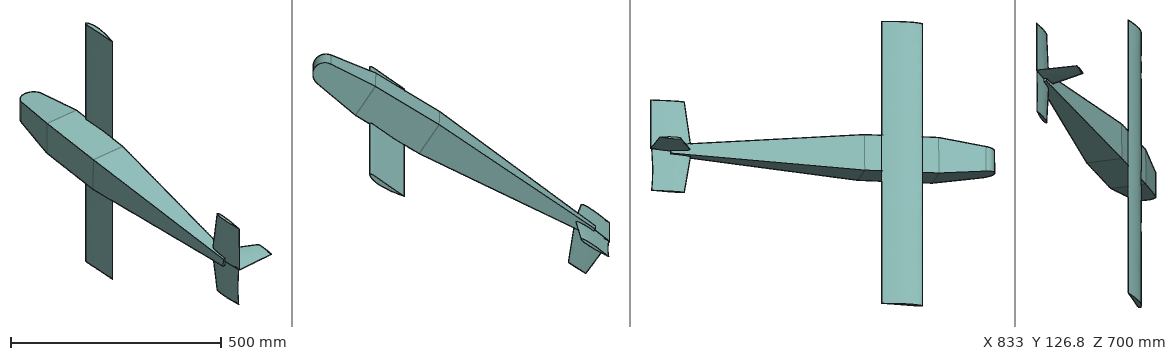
import cadquery as cq
import math

BODY_LENGTH = 786.0
FRONT_STATION = 143.0
REAR_STATION = 323.0
HALF_SECTION = 44.0
HALF_TAIL = 10.4
NOSE_RADIUS = 30.0
NOSE_HALF_HEIGHT = 27.5
NOSE_TIP = (0.45, -36.0, 28.0)
YAW = -2.1
PITCH = 0.9

WING_CHORD = 100.0
WING_SPAN = 700.0
WING_LEADING_X = 184.0
WING_THICKNESS = 0.12
WING_CAMBER = 0.04
WING_CAMBER_PLACE = 0.4

TRAILING_X = 833.0
ROOT_LEADING_X = 733.0
TAIL_THICKNESS = 0.1
ROOT_Y = -65.0
ROOT_Z = 17.0
UPPER_TIP_Z = 137.5
LOWER_TIP_Z = -87.0
STABILIZER_TIP_LEADING_X = 751.0
LOWER_TRAILING_X = 831.0
LOWER_TRAILING_DIP = 2.5
FIN_TIP_Y = 35.0
FIN_TIP_LEADING_X = 782.5

SECTION_STEPS = 16


def airfoil_offset(t, thickness, camber, side):
    """Offset from the chord line, as a fraction of the chord (four-digit NACA form)."""
    half = 5 * thickness * (
        0.2969 * math.sqrt(t) - 0.126 * t - 0.3516 * t**2 + 0.2843 * t**3 - 0.1036 * t**4
    )
    place = WING_CAMBER_PLACE
    if t < place:
        mean = camber / place**2 * (2 * place * t - t**2)
    else:
        mean = camber / (1 - place) ** 2 * (1 - 2 * place + 2 * place * t - t**2)
    return mean + side * half


def airfoil(plane, leading_x, trailing_x, thickness, camber=0.0):
    """Closed airfoil section with its chord along the X direction of the plane."""
    chord = trailing_x - leading_x

    def point(step, side):
        t = (1 - math.cos(math.pi * step / SECTION_STEPS)) / 2
        if step in (0, SECTION_STEPS):
            return (leading_x + chord * t, 0)
        return (leading_x + chord * t, chord * airfoil_offset(t, thickness, camber, side))

    upper = [point(step, 1) for step in range(SECTION_STEPS, -1, -1)]
    lower = [point(step, -1) for step in range(SECTION_STEPS + 1)]
    section = cq.Workplane(plane).moveTo(*upper[0]).spline(upper[1:], includeCurrent=True)
    return section.spline(lower[1:], includeCurrent=True).close().val()


def make_fuselage_blank():
    """Common volume of a planform with a round nose and a side profile."""
    run = FRONT_STATION - NOSE_RADIUS
    reach = math.hypot(run, HALF_SECTION)
    taper = math.atan2(HALF_SECTION, run) - math.asin(NOSE_RADIUS / reach)
    tangent_x = NOSE_RADIUS * (1 - math.sin(taper))
    tangent_y = NOSE_RADIUS * math.cos(taper)
    half_sweep = (math.pi / 2 - taper) / 2
    middle_x = NOSE_RADIUS * (1 - math.cos(half_sweep))
    middle_y = NOSE_RADIUS * math.sin(half_sweep)
    depth = 2 * FRONT_STATION

    planform = (
        cq.Workplane("XY", origin=(0, 0, -depth / 2))
        .moveTo(tangent_x, -tangent_y)
        .lineTo(FRONT_STATION, -HALF_SECTION)
        .lineTo(REAR_STATION, -HALF_SECTION)
        .lineTo(BODY_LENGTH, -HALF_TAIL)
        .lineTo(BODY_LENGTH, HALF_TAIL)
        .lineTo(REAR_STATION, HALF_SECTION)
        .lineTo(FRONT_STATION, HALF_SECTION)
        .lineTo(tangent_x, tangent_y)
        .threePointArc((middle_x, middle_y), (0, 0))
        .threePointArc((middle_x, -middle_y), (tangent_x, -tangent_y))
        .close()
        .extrude(depth)
    )
    side_profile = (
        cq.Workplane("XZ", origin=(0, depth / 2, 0))
        .moveTo(0, -NOSE_HALF_HEIGHT)
        .lineTo(FRONT_STATION, -HALF_SECTION)
        .lineTo(REAR_STATION, -HALF_SECTION)
        .lineTo(BODY_LENGTH, -HALF_TAIL)
        .lineTo(BODY_LENGTH, HALF_TAIL)
        .lineTo(REAR_STATION, HALF_SECTION)
        .lineTo(FRONT_STATION, HALF_SECTION)
        .lineTo(0, NOSE_HALF_HEIGHT)
        .close()
        .extrude(depth)
    )
    body = planform.intersect(side_profile)
    body = body.rotate((0, 0, 0), (0, 1, 0), PITCH).rotate((0, 0, 0), (0, 0, 1), YAW)
    return body.translate(NOSE_TIP)


def make_wing():
    section = airfoil(
        cq.Plane.XY(origin=(0, 0, -WING_SPAN / 2)),
        WING_LEADING_X, WING_LEADING_X + WING_CHORD, WING_THICKNESS, WING_CAMBER,
    )
    return cq.Workplane("XY").add(section).toPending().extrude(WING_SPAN)


def stabilizer_section(z, leading_x, trailing_x):
    return airfoil(cq.Plane.XY(origin=(0, ROOT_Y, z)), leading_x, trailing_x, TAIL_THICKNESS)


def fin_section(y, leading_x):
    return airfoil(cq.Plane.XZ(origin=(0, y, ROOT_Z)), leading_x, TRAILING_X, TAIL_THICKNESS)


def make_tail():
    upper = cq.Solid.makeLoft([
        stabilizer_section(ROOT_Z, ROOT_LEADING_X, TRAILING_X),
        stabilizer_section(UPPER_TIP_Z, STABILIZER_TIP_LEADING_X, TRAILING_X),
    ], True)
    middle_z = (ROOT_Z + LOWER_TIP_Z) / 2
    middle_leading_x = (ROOT_LEADING_X + STABILIZER_TIP_LEADING_X) / 2
    lower = cq.Solid.makeLoft([
        stabilizer_section(ROOT_Z, ROOT_LEADING_X, LOWER_TRAILING_X),
        stabilizer_section(middle_z, middle_leading_x, LOWER_TRAILING_X - LOWER_TRAILING_DIP),
        stabilizer_section(LOWER_TIP_Z, STABILIZER_TIP_LEADING_X, LOWER_TRAILING_X),
    ])
    fin = cq.Solid.makeLoft([
        fin_section(ROOT_Y, ROOT_LEADING_X),
        fin_section(FIN_TIP_Y, FIN_TIP_LEADING_X),
    ], True)
    return cq.Workplane("XY").add(upper).union(cq.Workplane(lower)).union(cq.Workplane(fin))


wing = make_wing()
tail = make_tail()
fuselage = make_fuselage_blank().cut(wing).cut(tail)

result = cq.Compound.makeCompound([*fuselage.vals(), *wing.vals(), *tail.vals()])